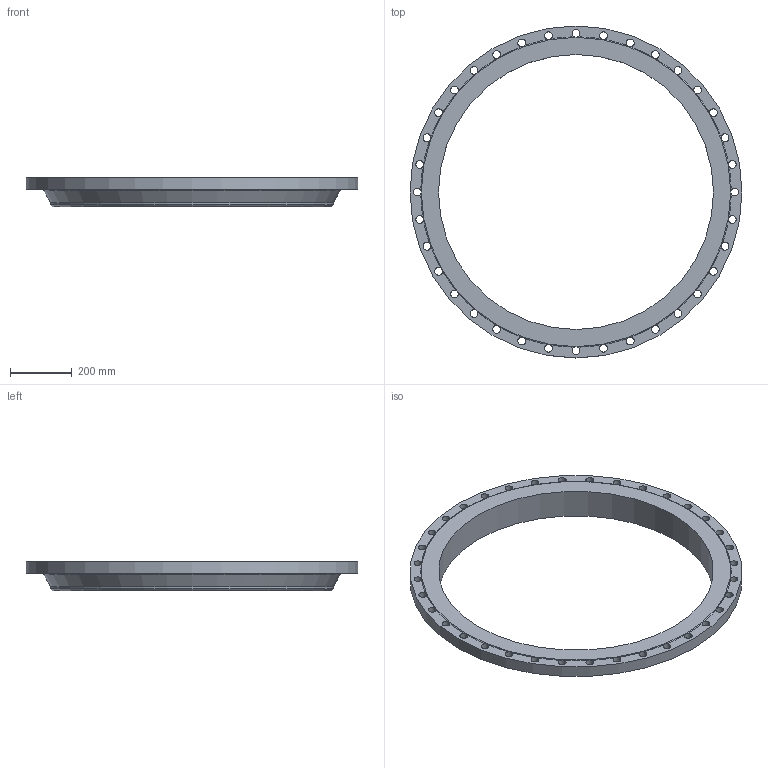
import cadquery as cq

flange_diameter = 1073.15
total_height = 96.84
bore_diameter = 889.0

raised_face_diameter = 1000.0
raised_face_height = 1.6
raised_face_fillet = 1.5
flange_thickness = 39.7

hub_base_diameter = 963.5
hub_fillet_radius = 9.5
weld_end_diameter = 914.4
weld_end_height = 14.3
bevel_height = 7.8
bevel_width = 6.6

bolt_count = 36
bolt_circle_diameter = 1025.525
bolt_hole_diameter = 25.4

match_tolerance = 0.01

full_turn = 360


def circular_edges(body, radius, z):
    """Pick the circular edge with the given radius at height z."""

    def matches(edge):
        if edge.geomType() != "CIRCLE":
            return False
        same_radius = abs(edge.radius() - radius) < match_tolerance
        same_height = abs(edge.Center().z - z) < match_tolerance
        return same_radius and same_height

    return body.edges().filter(matches)


def flange_body():
    """Revolve the half section about the Z axis, weld end at Z = 0, and fillet its roots."""
    bore_radius = bore_diameter / 2
    hub_base_radius = hub_base_diameter / 2
    weld_end_radius = weld_end_diameter / 2
    flange_radius = flange_diameter / 2
    raised_face_radius = raised_face_diameter / 2
    underside_z = total_height - flange_thickness
    bolting_face_z = total_height - raised_face_height
    body = (
        cq.Workplane("XZ")
        .moveTo(bore_radius, 0)
        .lineTo(weld_end_radius - bevel_width, 0)
        .lineTo(weld_end_radius, bevel_height)
        .lineTo(weld_end_radius, weld_end_height)
        .lineTo(hub_base_radius, underside_z)
        .lineTo(flange_radius, underside_z)
        .lineTo(flange_radius, bolting_face_z)
        .lineTo(raised_face_radius, bolting_face_z)
        .lineTo(raised_face_radius, total_height)
        .lineTo(bore_radius, total_height)
        .close()
        .revolve(full_turn, (0, 0, 0), (0, 1, 0))
    )
    body = circular_edges(body, hub_base_radius, underside_z).fillet(hub_fillet_radius)
    raised_face_root = circular_edges(body, raised_face_radius, bolting_face_z)
    return raised_face_root.fillet(raised_face_fillet)


def bolt_holes():
    """Cylinders through the full height, the first one on the +X axis."""
    return (
        cq.Workplane("XY")
        .polarArray(bolt_circle_diameter / 2, 0, full_turn, bolt_count)
        .circle(bolt_hole_diameter / 2)
        .extrude(total_height)
    )


result = flange_body().cut(bolt_holes())